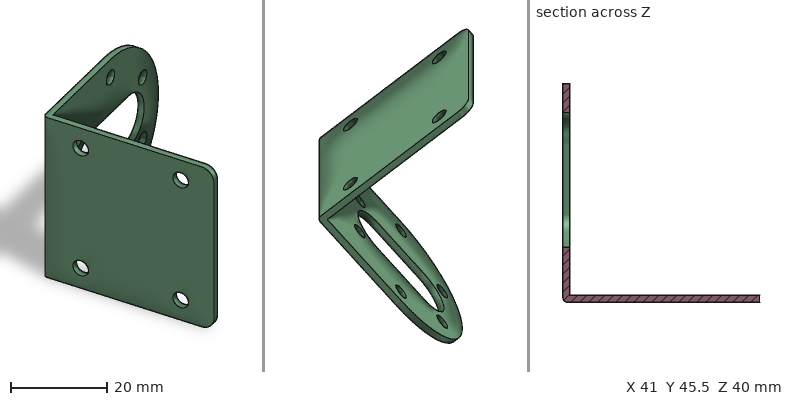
import cadquery as cq

thickness = 1.5
height = 40.0
base_length = 41.0
bend_radius = 1.0
corner_radius = 3.0

motor_end_radius = height / 2
motor_axis_y = 25.5
bolt_circle_radius = 15.5
bolt_count = 6
first_bolt_angle = 90.0
full_turn = 360.0
bolt_hole_diameter = 3.4
slot_length = 28.0
slot_width = 13.0

mount_hole_diameter = 3.7
mount_spacing_x = 24.0
mount_spacing_z = 30.0
mount_center_x = 21.0


def mounting_plate():
    """Rectangular flange with two rounded free corners."""
    plate = cq.Workplane("XY").box(
        base_length, thickness, height, centered=(False, False, True)
    )
    return plate.edges("|Y and >X").fillet(corner_radius)


def motor_plate():
    """Flange whose free end is a full half circle."""
    return (
        cq.Workplane("YZ")
        .moveTo(0, -height / 2)
        .lineTo(motor_axis_y, -height / 2)
        .threePointArc(
            (motor_axis_y + motor_end_radius, 0),
            (motor_axis_y, height / 2),
        )
        .lineTo(0, height / 2)
        .close()
        .extrude(thickness)
    )


def mounting_holes():
    """Four cutters through the mounting plate."""
    return (
        cq.Workplane("XZ")
        .center(mount_center_x, 0)
        .rarray(mount_spacing_x, mount_spacing_z, 2, 2)
        .circle(mount_hole_diameter / 2)
        .extrude(-thickness)
    )


def motor_openings():
    """Central slot and the ring of bolt holes through the motor plate."""
    motor_face = cq.Workplane("YZ").center(motor_axis_y, 0)
    slot = motor_face.slot2D(slot_length, slot_width).extrude(thickness)
    bolt_holes = (
        motor_face.polarArray(bolt_circle_radius, first_bolt_angle, full_turn, bolt_count)
        .circle(bolt_hole_diameter / 2)
        .extrude(thickness)
    )
    return slot.union(bolt_holes)


bracket = mounting_plate().union(motor_plate())
bracket = bracket.edges("|Z and <X and <Y").fillet(bend_radius)
result = bracket.cut(mounting_holes()).cut(motor_openings())